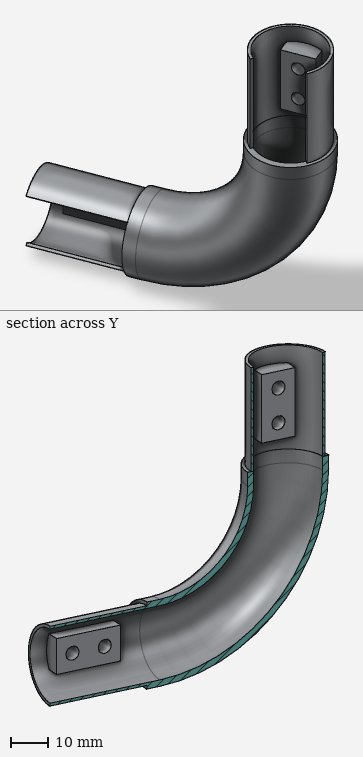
import cadquery as cq
import math

overall = 86.4
collar_radius = 12.6
arm_radius = 11.6
bore_radius = 10.6
arm_length = 30.0
collar_length = 4.0
slot_angle = 92.0
pad_length = 19.8
pad_width = 10.4
pad_inner_y = 5.2
pad_end_gap = 5.1
hole_diameter = 4.0
hole_spacing = 10.0

tip_height = arm_length + collar_length
bend_radius = overall - collar_radius - tip_height
pad_centre_height = tip_height - pad_end_gap - pad_length / 2


def cylinder(radius, base, length):
    return cq.Workplane("XY").workplane(offset=base).circle(radius).extrude(length)


def make_arm():
    """Slotted sleeve with a drilled flat pad on its +Y wall."""
    tube = cylinder(arm_radius, collar_length, arm_length)
    tube = tube.cut(cylinder(bore_radius, collar_length, arm_length))
    reach = 2 * arm_radius
    half_width = reach * math.tan(math.radians(slot_angle / 2))
    slot = (
        cq.Workplane("XY")
        .workplane(offset=collar_length)
        .polyline([(0, 0), (-half_width, -reach), (half_width, -reach)])
        .close()
        .extrude(arm_length)
    )
    pad = (
        cq.Workplane("XY")
        .box(pad_width, arm_radius, pad_length, centered=(True, False, True))
        .translate((0, pad_inner_y, pad_centre_height))
        .intersect(cylinder(arm_radius, collar_length, arm_length))
    )
    holes = (
        cq.Workplane("XZ")
        .center(0, pad_centre_height)
        .rarray(0.9, hole_spacing, 1, 2)
        .circle(hole_diameter / 2)
        .extrude(-reach)
    )
    return tube.cut(slot).union(pad).cut(holes)


def make_collar():
    return cylinder(collar_radius, 0, collar_length).cut(cylinder(bore_radius, 0, collar_length))


def place_upper(leg):
    return leg.translate((bend_radius, 0, 0))


def place_lower(leg):
    """Turn a +Z leg to point along -X, keeping its slot on -Y."""
    return leg.rotate((0, 0, 0), (0, 1, 0), -90).translate((0, 0, -bend_radius))


def make_bend():
    return (
        cq.Workplane("XY")
        .center(bend_radius, 0)
        .circle(collar_radius)
        .circle(bore_radius)
        .revolve(90, (-bend_radius, 0), (-bend_radius, 1))
    )


def make_elbow():
    """Bend with a collar at each end and the lower arm in one piece."""
    lower_leg = make_collar().union(make_arm())
    return make_bend().union(place_upper(make_collar())).union(place_lower(lower_leg))


def make_upper_arm():
    """Separate arm standing on the upper collar."""
    return place_upper(make_arm())


elbow = make_elbow()
upper_arm = make_upper_arm()
result = cq.Compound.makeCompound([elbow.val(), upper_arm.val()])